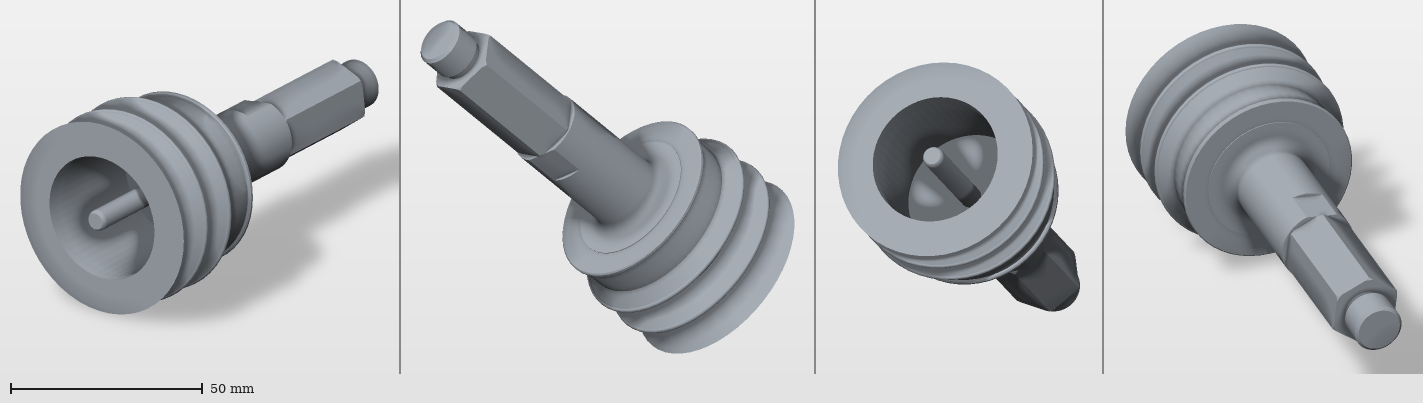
import cadquery as cq
import math

total_length = 117.0

lip_y = 2.9
lower_valley_y = 8.3
lower_ridge_y = 13.5
upper_valley_y = 18.3
upper_ridge_y = 23.8
drum_bottom_y = 28.0
flange_bottom_y = 36.4
flange_top_y = 37.8
raised_face_y = 38.0
neck_top_y = 73.2
hex_top_y = 107.1
thread_bottom_y = 109.2

bellows_diameter = 52.9
ridge_flat = 1.4
ridge_round = 0.6
valley_diameter = 38.5
drum_diameter = 45.2
flange_diameter = 47.0
flange_chamfer = 0.4
raised_face_diameter = 34.0
bore_diameter = 34.0

neck_diameter = 20.0
neck_fillet = 3.0
hex_across_flats = 17.0
hex_chamfer = 0.6
relief_diameter = 11.5
thread_diameter = 13.1
thread_chamfer = 0.8
wrench_across_flats = 18.1
wrench_flat_length = 10.2
stem_turn = 7.0

pin_diameter = 5.6
pin_tip_diameter = 4.5
pin_tip_length = 1.3


def cylinder(diameter, start_y, end_y):
    """Cylinder on the Y axis between two positions."""
    plane = cq.Workplane("XZ", origin=(0, start_y, 0))
    return plane.circle(diameter / 2).extrude(start_y - end_y)


def bellows():
    """Drum, two ridges and a flared lip, bored through up to the flange."""
    ridge_radius = bellows_diameter / 2
    valley_radius = valley_diameter / 2
    half_flat = ridge_flat / 2
    shoulder_radius = ridge_radius - ridge_round
    profile = cq.Workplane("XY").moveTo(0, lip_y).lineTo(ridge_radius, lip_y)
    for valley_y, ridge_y in ((lower_valley_y, lower_ridge_y), (upper_valley_y, upper_ridge_y)):
        profile = (
            profile.lineTo(valley_radius, valley_y)
            .lineTo(shoulder_radius, ridge_y - half_flat)
            .threePointArc((ridge_radius, ridge_y), (shoulder_radius, ridge_y + half_flat))
        )
    profile = (
        profile.lineTo(drum_diameter / 2, drum_bottom_y)
        .lineTo(drum_diameter / 2, flange_bottom_y)
        .lineTo(0, flange_bottom_y)
        .close()
    )
    solid = profile.revolve(360, (0, 0, 0), (0, 1, 0))
    return solid.cut(cylinder(bore_diameter, lip_y, flange_bottom_y))


def flange():
    """Chamfered flange with a thin raised face on the stem side."""
    rim = cylinder(flange_diameter, flange_bottom_y, flange_top_y).edges().chamfer(flange_chamfer)
    return rim.union(cylinder(raised_face_diameter, flange_bottom_y, raised_face_y))


def neck():
    """Round neck flaring into the raised face, with two wrench flats at its upper end."""
    radius = neck_diameter / 2
    fillet_mid = neck_fillet * (1 - math.sqrt(0.5))
    solid = (
        cq.Workplane("XY")
        .moveTo(0, raised_face_y)
        .lineTo(radius + neck_fillet, raised_face_y)
        .threePointArc(
            (radius + fillet_mid, raised_face_y + fillet_mid),
            (radius, raised_face_y + neck_fillet),
        )
        .lineTo(radius, neck_top_y)
        .lineTo(0, neck_top_y)
        .close()
        .revolve(360, (0, 0, 0), (0, 1, 0))
    )
    flat_centre_y = neck_top_y - wrench_flat_length / 2
    for side in (1, -1):
        cutter = (
            cq.Workplane("XY")
            .box(neck_diameter, wrench_flat_length, neck_diameter)
            .translate((0, flat_centre_y, side * (wrench_across_flats + neck_diameter) / 2))
            .rotate((0, 0, 0), (0, 1, 0), -stem_turn)
        )
        solid = solid.cut(cutter)
    return solid


def hexagon():
    """Hexagonal shank whose corners are turned down to a cone at both ends."""
    corner_diameter = hex_across_flats / math.cos(math.pi / 6)
    prism = (
        cq.Workplane("XZ", origin=(0, neck_top_y, 0))
        .polygon(6, corner_diameter)
        .extrude(neck_top_y - hex_top_y)
        .rotate((0, 0, 0), (0, 1, 0), 30 - stem_turn)
    )
    envelope = cylinder(corner_diameter, neck_top_y, hex_top_y).edges().chamfer(hex_chamfer)
    return prism.intersect(envelope)


def thread_end():
    """Plain thread cylinder above a relief groove."""
    thread = cylinder(thread_diameter, thread_bottom_y, total_length)
    thread = thread.faces(">Y").chamfer(thread_chamfer)
    return thread.union(cylinder(relief_diameter, hex_top_y, thread_bottom_y))


def pin():
    """Centre pin from the flange out past the lip, rounded towards a flat tip."""
    radius = pin_diameter / 2
    tip_radius = pin_tip_diameter / 2
    return (
        cq.Workplane("XY")
        .moveTo(0, flange_bottom_y)
        .lineTo(radius, flange_bottom_y)
        .lineTo(radius, pin_tip_length)
        .tangentArcPoint((tip_radius, 0), relative=False)
        .lineTo(0, 0)
        .close()
        .revolve(360, (0, 0, 0), (0, 1, 0))
    )


result = bellows()
for piece in (flange(), neck(), hexagon(), thread_end(), pin()):
    result = result.union(piece)